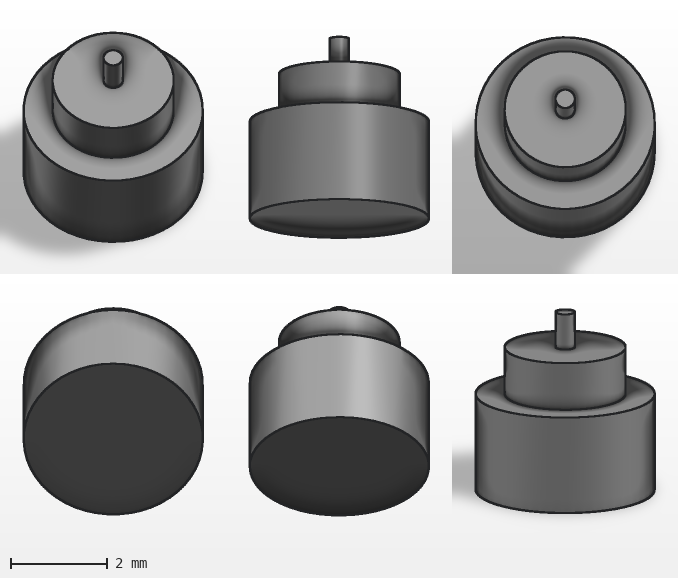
import cadquery as cq

total_height = 3.8

base_diameter = 3.7
base_height = 2.05

neck_diameter = 2.5
neck_height = 1.0

pin_diameter = 0.4
pin_height = total_height - base_height - neck_height


def add_cylinder(body, diameter, height):
    """Stack a coaxial cylinder on the top face of the body."""
    return body.faces(">Z").workplane().circle(diameter / 2).extrude(height)


base = cq.Workplane("XY").circle(base_diameter / 2).extrude(base_height)
base_and_neck = add_cylinder(base, neck_diameter, neck_height)
result = add_cylinder(base_and_neck, pin_diameter, pin_height)